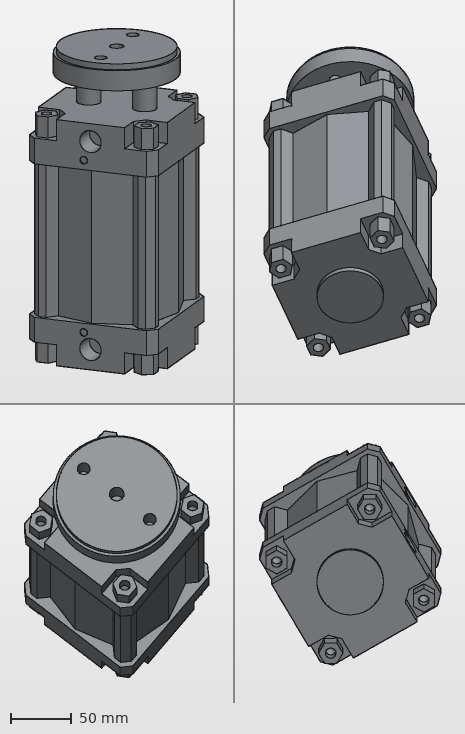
import cadquery as cq
import math

BOSS_HEIGHT = 4.5
BOTTOM_CAP_HEIGHT = 39.7
TUBE_HEIGHT = 132.7
TOP_CAP_HEIGHT = 40.5
ROD_EXPOSED_LENGTH = 28.1
PLATE_RIM_HEIGHT = 17.5
TOTAL_HEIGHT = 268

BOTTOM_CAP_TOP = BOSS_HEIGHT + BOTTOM_CAP_HEIGHT
TOP_CAP_BASE = BOTTOM_CAP_TOP + TUBE_HEIGHT
HOUSING_TOP = TOP_CAP_BASE + TOP_CAP_HEIGHT
PLATE_BASE = HOUSING_TOP + ROD_EXPOSED_LENGTH
PLATE_HEIGHT = TOTAL_HEIGHT - PLATE_BASE

CAP_WIDTH = 115.0
CAP_CHAMFER = 7.5
NOTCH_WIDTH = 27.0
NOTCH_DEPTH = 18.2
NOTCH_CHAMFER = 8
BOSS_DIAMETER = 55.0

NUT_OFFSET = 44.5
NUT_ACROSS_FLATS = 17.5
NUT_HOLE_DIAMETER = 8.5
NUT_HOLE_DEPTH = 13.5
DRILL_POINT_ANGLE = 118

TUBE_APEX = 55.0
POST_FACE = 54.0
POST_CHAMFER = 6.2
GROOVE_OUTER = 41.0
GROOVE_INNER = 33.2

PORT_DIAMETER = 19.0
PORT_DEPTH = 21.5
TOP_PORT_BELOW_TOP = 15.5
BOTTOM_PORT_ABOVE_BASE = 17.7
VENT_DIAMETER = 6.5
VENT_DEPTH = 1.3
VENT_X = -6.2
VENT_TO_TUBE = 8

PLATE_DIAMETER = 105.0
PLATE_FACE_DIAMETER = 100.0
PLATE_CENTER_HOLE_DIAMETER = 11.8
PLATE_SIDE_HOLE_DIAMETER = 10.2
PLATE_SIDE_HOLE_Y = 35.0
ROD_DIAMETER = 20.0
ROD_X = 25.0

CORNERS = [(-1, -1), (1, -1), (1, 1), (-1, 1)]


def cylinder(diameter, height, base_z, x=0, y=0):
    """Upright cylinder standing on the height base_z."""
    return cq.Workplane("XY", origin=(x, y, base_z)).circle(diameter / 2).extrude(height)


def make_notch(x_sign, y_sign):
    """Square corner pocket with a chamfered inner edge, floor at z = 0."""
    outer = CAP_WIDTH / 2
    inner = outer - NOTCH_WIDTH
    outline = [
        (outer, outer),
        (inner, outer),
        (inner, inner + NOTCH_CHAMFER),
        (inner + NOTCH_CHAMFER, inner),
        (outer, inner),
    ]
    points = [(x_sign * x, y_sign * y) for x, y in outline]
    return cq.Workplane("XY").polyline(points).close().extrude(NOTCH_DEPTH)


def make_nut(x_sign, y_sign):
    """Hexagonal nut with a drilled blind hole, base at z = 0."""
    across_corners = NUT_ACROSS_FLATS / math.cos(math.pi / 6)
    turn = 0 if x_sign == y_sign else 90
    hole_radius = NUT_HOLE_DIAMETER / 2
    point_height = hole_radius / math.tan(math.radians(DRILL_POINT_ANGLE / 2))
    hole_bottom = NOTCH_DEPTH - NUT_HOLE_DEPTH
    hole = (
        cq.Workplane("XZ")
        .moveTo(0, hole_bottom - point_height)
        .lineTo(hole_radius, hole_bottom)
        .lineTo(hole_radius, NOTCH_DEPTH)
        .lineTo(0, NOTCH_DEPTH)
        .close()
        .revolve(360, (0, 0, 0), (0, 1, 0))
    )
    nut = cq.Workplane("XY").polygon(6, across_corners).extrude(NOTCH_DEPTH).cut(hole)
    nut = nut.rotate((0, 0, 0), (0, 0, 1), turn)
    return nut.translate((x_sign * NUT_OFFSET, y_sign * NUT_OFFSET, 0))


def make_cap(height):
    """End cap standing on z = 0, with notches and nuts at its upper corners."""
    cap = cq.Workplane("XY").rect(CAP_WIDTH, CAP_WIDTH).extrude(height)
    cap = cap.edges("|Z").chamfer(CAP_CHAMFER)
    notch_floor = (0, 0, height - NOTCH_DEPTH)
    for x_sign, y_sign in CORNERS:
        cap = cap.cut(make_notch(x_sign, y_sign).translate(notch_floor))
        cap = cap.union(make_nut(x_sign, y_sign).translate(notch_floor))
    return cap


def make_tube():
    """Barrel with four chamfered corner posts and a shallow ridge along each side."""
    groove_floor = POST_FACE - (GROOVE_OUTER - GROOVE_INNER)
    post_corner = POST_FACE - POST_CHAMFER
    side = [
        (-post_corner, -POST_FACE),
        (-GROOVE_OUTER, -POST_FACE),
        (-GROOVE_INNER, -groove_floor),
        (0, -TUBE_APEX),
        (GROOVE_INNER, -groove_floor),
        (GROOVE_OUTER, -POST_FACE),
        (post_corner, -POST_FACE),
    ]
    outline = []
    for _ in range(4):
        outline += side
        side = [(-y, x) for x, y in side]
    base = cq.Workplane("XY", origin=(0, 0, BOTTOM_CAP_TOP))
    return base.polyline(outline).close().extrude(TUBE_HEIGHT)


def make_front_hole(diameter, depth, x, z):
    """Blind hole cut into the front face of a cap."""
    return cq.Workplane("XZ", origin=(x, -CAP_WIDTH / 2, z)).circle(diameter / 2).extrude(-depth)


def make_housing():
    """Barrel between two end caps, with a bottom boss, and ports and vents in the front face."""
    top_cap = make_cap(TOP_CAP_HEIGHT).translate((0, 0, TOP_CAP_BASE))
    bottom_cap = make_cap(BOTTOM_CAP_HEIGHT).mirror("XY")
    bottom_cap = bottom_cap.translate((0, 0, BOTTOM_CAP_TOP))
    boss = cylinder(BOSS_DIAMETER, BOSS_HEIGHT, 0)
    housing = make_tube().union(top_cap).union(bottom_cap).union(boss)
    for port_z in (HOUSING_TOP - TOP_PORT_BELOW_TOP, BOSS_HEIGHT + BOTTOM_PORT_ABOVE_BASE):
        housing = housing.cut(make_front_hole(PORT_DIAMETER, PORT_DEPTH, 0, port_z))
    for vent_z in (TOP_CAP_BASE + VENT_TO_TUBE, BOTTOM_CAP_TOP - VENT_TO_TUBE):
        housing = housing.cut(make_front_hole(VENT_DIAMETER, VENT_DEPTH, VENT_X, vent_z))
    return housing


def make_moving_plate():
    """Stepped round plate carried on two rods that end on the housing top."""
    plate = cylinder(PLATE_DIAMETER, PLATE_RIM_HEIGHT, PLATE_BASE)
    plate = plate.union(cylinder(PLATE_FACE_DIAMETER, PLATE_HEIGHT, PLATE_BASE))
    plate = plate.cut(cylinder(PLATE_CENTER_HOLE_DIAMETER, PLATE_HEIGHT, PLATE_BASE))
    for side in (-1, 1):
        hole_y = side * PLATE_SIDE_HOLE_Y
        plate = plate.cut(cylinder(PLATE_SIDE_HOLE_DIAMETER, PLATE_HEIGHT, PLATE_BASE, y=hole_y))
    for side in (-1, 1):
        plate = plate.union(cylinder(ROD_DIAMETER, ROD_EXPOSED_LENGTH, HOUSING_TOP, x=side * ROD_X))
    return plate


housing = make_housing()
moving_plate = make_moving_plate()

result = cq.Compound.makeCompound([housing.val(), moving_plate.val()])